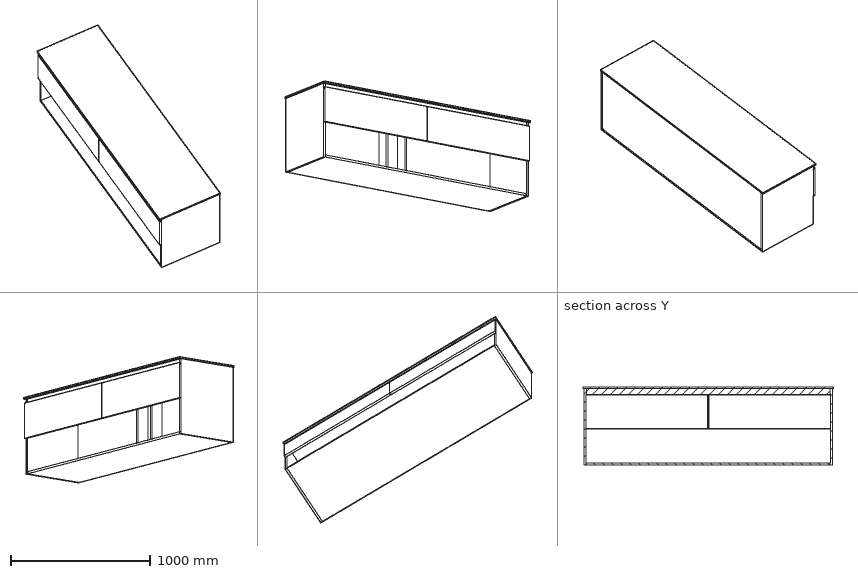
import cadquery as cq

top_width = 1800.0
top_depth = 500.0
total_height = 562.0
top_thickness = 12.0
top_edge_bevel = 1.0

top_overhang = 6.0
carcass_depth = 480.0
board = 16.0
carcass_width = top_width - 2 * top_overhang
carcass_height = total_height - top_thickness
inner_width = carcass_width - 2 * board

finger_gap = 29.0
drawer_height = 260.0
drawer_split = 4.0
grip_bevel = 10.0
drawer_width = (carcass_width - drawer_split) / 2
drawer_base = carcass_height - finger_gap - drawer_height

rib_spacing = 162.0
rib_depth = 90.0

crosspiece_height = 45.0
rib_height = carcass_height - board - crosspiece_height


def board_box(width, depth, height, center_x, front_y, base_z):
    """Solid board given its size, middle X, front face Y and underside Z."""
    return (
        cq.Workplane("XY")
        .box(width, depth, height, centered=(True, False, False))
        .translate((center_x, front_y, base_z))
    )


def make_worktop():
    """Worktop, bevelled on every edge that does not lie on the back face."""
    worktop = board_box(top_width, top_depth, top_thickness, 0, -top_depth, carcass_height)
    return worktop.edges("not(>Y)").chamfer(top_edge_bevel)


def make_side(side):
    center_x = side * (carcass_width - board) / 2
    return board_box(board, carcass_depth, carcass_height, center_x, -carcass_depth, 0)


def make_floor():
    return board_box(inner_width, carcass_depth, board, 0, -carcass_depth, 0)


def make_inner_frame():
    """Back panel standing on the floor, with the crosspiece at its top and two ribs below it."""
    back = board_box(inner_width, board, carcass_height - board, 0, -board, board)
    crosspiece = board_box(
        inner_width, carcass_depth, crosspiece_height, 0, -carcass_depth, carcass_height - crosspiece_height
    )
    inner_frame = back.union(crosspiece)
    for side in (-1, 1):
        rib = board_box(
            board, rib_depth, rib_height, side * rib_spacing / 2, -board - rib_depth, board
        )
        inner_frame = inner_frame.union(rib)
    return inner_frame


def make_drawer_front(side):
    """Drawer front with a finger grip bevelled into the rear of its top edge."""
    center_x = side * (drawer_width + drawer_split) / 2
    front_y = -carcass_depth - board
    front = board_box(drawer_width, board, drawer_height, center_x, front_y, drawer_base)
    return front.edges(">Y and >Z").chamfer(grip_bevel)


worktop = make_worktop()
floor = make_floor()
inner_frame = make_inner_frame()
sides = [make_side(side) for side in (-1, 1)]
drawer_fronts = [make_drawer_front(side) for side in (-1, 1)]

result = cq.Compound.makeCompound([
    worktop.val(),
    floor.val(),
    inner_frame.val(),
    *[panel.val() for panel in sides],
    *[front.val() for front in drawer_fronts],
])